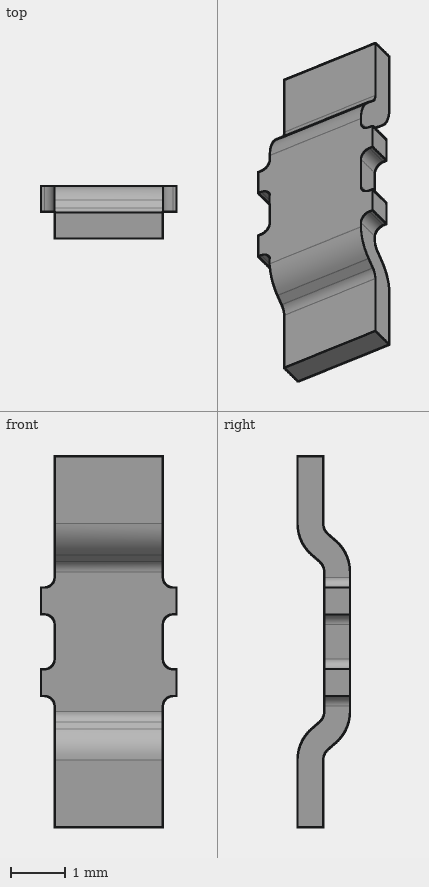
import cadquery as cq
import math

length = 6.85
strip_width = 2.0
overall_width = 2.51
thickness = 0.48
overall_depth = 0.97

bend_start = 1.29
bend_end = 2.18
inner_radius = 0.255
outer_radius = 0.76

tab_height = 0.5
tab_spacing = 1.51
tab_root_radius = 0.185

step = overall_depth - thickness

bend_length = bend_end - bend_start
radius_sum = inner_radius + outer_radius
center_offset = radius_sum - step
slope_angle = math.atan2(bend_length, center_offset) - math.acos(
    radius_sum / math.hypot(bend_length, center_offset)
)

inner_setback = inner_radius * math.tan(slope_angle / 2)
outer_setback = outer_radius * math.tan(slope_angle / 2)

end_front = -overall_depth / 2
end_back = end_front + thickness
middle_back = overall_depth / 2
middle_front = middle_back - thickness


def make_strip():
    """Bent strip: a sharp stepped profile with all eight bends rounded."""
    front_face = [
        (middle_front, bend_start + inner_setback),
        (end_front, bend_end - outer_setback),
        (end_front, length / 2),
    ]
    back_face = [
        (end_back, length / 2),
        (end_back, bend_end - inner_setback),
        (middle_back, bend_start + outer_setback),
    ]
    upper_half = front_face + back_face
    lower_half = [(y, -z) for y, z in reversed(upper_half)]
    strip = (
        cq.Workplane("YZ")
        .polyline(upper_half + lower_half)
        .close()
        .extrude(strip_width / 2, both=True)
    )
    bend_corners = front_face[:2] + back_face[1:]
    bend_radii = (inner_radius, outer_radius) * 2
    for (y, z), radius in zip(bend_corners, bend_radii):
        for side in (1, -1):
            corner = cq.selectors.NearestToPointSelector((0, y, side * z))
            strip = strip.edges("|X").edges(corner).fillet(radius)
    return strip


def make_tab_bar(z):
    """Bar across the middle plate whose ends are tabs with rounded roots."""
    half_strip = strip_width / 2
    half_bar = overall_width / 2
    half_tab = tab_height / 2
    root_x = half_strip + tab_root_radius
    root_z = half_tab + tab_root_radius
    arc_offset = tab_root_radius * math.sqrt(0.5)
    arc_x = root_x - arc_offset
    arc_z = root_z - arc_offset
    return (
        cq.Workplane("XZ", origin=(0, middle_back, z))
        .moveTo(-half_strip, root_z)
        .lineTo(half_strip, root_z)
        .threePointArc((arc_x, arc_z), (root_x, half_tab))
        .lineTo(half_bar, half_tab)
        .lineTo(half_bar, -half_tab)
        .lineTo(root_x, -half_tab)
        .threePointArc((arc_x, -arc_z), (half_strip, -root_z))
        .lineTo(-half_strip, -root_z)
        .threePointArc((-arc_x, -arc_z), (-root_x, -half_tab))
        .lineTo(-half_bar, -half_tab)
        .lineTo(-half_bar, half_tab)
        .lineTo(-root_x, half_tab)
        .threePointArc((-arc_x, arc_z), (-half_strip, root_z))
        .close()
        .extrude(thickness)
    )


result = make_strip()
for tab_z in (-tab_spacing / 2, tab_spacing / 2):
    result = result.union(make_tab_bar(tab_z))
result = result.clean()